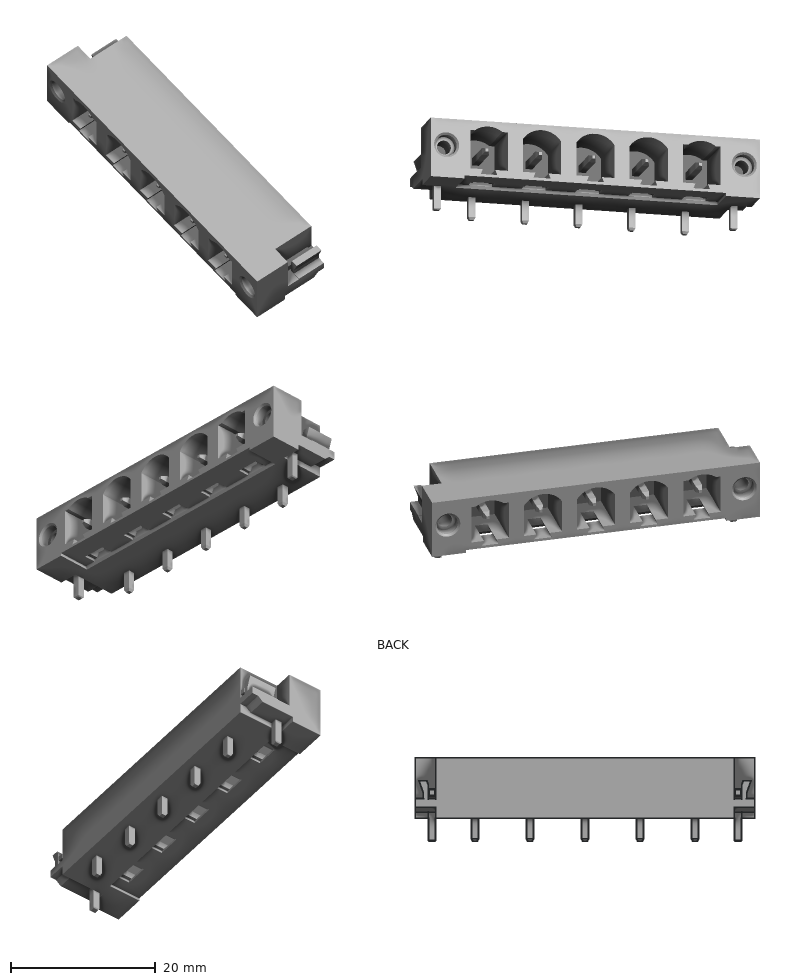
import cadquery as cq
import math


LENGTH = 46.95
DEPTH = 11.75
HEIGHT = 8.4
BODY_LENGTH = 41.32
FLANGE_DEPTH = 5.4
ARM_TOP = 2.7
UNDERCUT_START = 4.8
UNDERCUT_HEIGHT = 0.85
RAMP_START = 9.95
RAMP_END = 10.75
TAIL_HEIGHT = 1.55
RELIEF_HEIGHT = 0.4
RELIEF_LENGTH = 37.3
RELIEF_RUNOUT = 0.25

RAIL_START = 7.35
RAIL_TOP = 5.2
RAIL_BEND = 3.5
RAIL_INNER = 21.9
RAIL_OUTER = 22.95
RAIL_BASE_RISE = 0.1
RAIL_SLANT = 0.6

POLES = 5
PITCH = 7.6
POCKET_DEPTH = 7.5
POCKET_FLOOR = 1.5
POCKET_HALF_WIDTH = 2.72
POCKET_TOP = 7.65
ROOF_RADIUS = 3.3
SHOULDER_HEIGHT = 7.0
OUTER_TRIM = 0.1
KEY_FLOOR = 0.8
KEY_HALF_TOP = 0.95
KEY_HALF_BOTTOM = 1.2
KEY_DEPTH = 4.8
WINDOW_START = 3.05
WINDOW_HALF_WIDTH = 1.7

PIN_WIDTH = 1.0
PIN_BOTTOM = -3.2
CONTACT_HEIGHT = 4.55
CONTACT_FRONT = 0.95
CONTACT_LEG_Y = 9.8
CONTACT_TIP_LENGTH = 0.95
CONTACT_TIP_WIDTH = 0.4
CONTACT_END_LENGTH = 0.38
CONTACT_END_WIDTH = 0.6
END_PIN_X = (BODY_LENGTH + PIN_WIDTH) / 2
END_PIN_TOP = 4.1
END_PIN_BEND = 1.55
END_PIN_CHAMFER = 0.15
TAIL_TIP_LENGTH = 0.7
TAIL_TIP_WIDTH = 0.75

INSERT_X = 21.23
INSERT_HEIGHT = 4.65
INSERT_RADIUS = 1.5
INSERT_BORE_RADIUS = 1.0
INSERT_RECESS = 1.5
INSERT_HOLE_DEPTH = 4.45
COUNTERSINK = 0.3

SIDES = (-1, 1)
CONTACT_XS = [(i - (POLES - 1) / 2) * PITCH for i in range(POLES)]


def block(x0, x1, y0, y1, z0, z1):
    return cq.Workplane("XY").box(x1 - x0, y1 - y0, z1 - z0, centered=False).translate((x0, y0, z0))


def centred_block(x, half_width, y0, y1, z0, z1):
    return block(x - half_width, x + half_width, y0, y1, z0, z1)


def side_profile(points, x0, x1):
    """Prism between x0 and x1 from (y, z) points."""
    return cq.Workplane("YZ").polyline(points).close().extrude(x1 - x0).translate((x0, 0, 0))


def front_profile(points, y0, y1):
    """Prism between y0 and y1 from (x, z) points."""
    return cq.Workplane("XZ").polyline(points).close().extrude(y0 - y1).translate((0, y0, 0))


def rod(x, z, radius, y0, y1):
    return cq.Workplane("XZ").center(x, z).circle(radius).extrude(y0 - y1).translate((0, y0, 0))


def end_cutouts(side):
    """Space above the end arm and below it."""
    x0, x1 = sorted((side * BODY_LENGTH / 2, side * LENGTH / 2))
    above = block(x0, x1, FLANGE_DEPTH, DEPTH, ARM_TOP, HEIGHT)
    below = side_profile(
        [
            (UNDERCUT_START, 0),
            (UNDERCUT_START, UNDERCUT_HEIGHT),
            (RAMP_START, UNDERCUT_HEIGHT),
            (RAMP_END, TAIL_HEIGHT),
            (DEPTH, TAIL_HEIGHT),
            (DEPTH, 0),
        ],
        x0,
        x1,
    )
    return above.union(below)


def rail(side):
    """Leaning rail whose inner face turns upright alongside the end pin."""
    inner_foot = END_PIN_X + PIN_WIDTH / 2
    outer_foot = RAIL_OUTER - RAIL_SLANT
    slope = (RAIL_TOP - RAIL_BEND) / RAIL_SLANT
    inner_bend = RAIL_TOP - (RAIL_INNER - inner_foot) * slope
    return front_profile(
        [
            (side * inner_foot, ARM_TOP),
            (side * inner_foot, inner_bend),
            (side * RAIL_INNER, RAIL_TOP),
            (side * RAIL_OUTER, RAIL_TOP),
            (side * outer_foot, RAIL_BEND),
            (side * outer_foot, ARM_TOP + RAIL_BASE_RISE),
            (side * LENGTH / 2, ARM_TOP + RAIL_BASE_RISE),
            (side * LENGTH / 2, ARM_TOP),
        ],
        RAIL_START,
        DEPTH,
    )


def underside_relief():
    """Shallow recess open to the mating face, ending in a sloped rear face."""
    return side_profile(
        [
            (0, 0),
            (0, RELIEF_HEIGHT),
            (KEY_DEPTH, RELIEF_HEIGHT),
            (KEY_DEPTH + RELIEF_RUNOUT, 0),
        ],
        -RELIEF_LENGTH / 2,
        RELIEF_LENGTH / 2,
    )


def pocket(index):
    """Contact pocket with a rounded roof and a dovetail key slot in its floor."""
    x = CONTACT_XS[index]
    left_trim = OUTER_TRIM if index == 0 else 0
    right_trim = OUTER_TRIM if index == POLES - 1 else 0
    left = x - POCKET_HALF_WIDTH + left_trim
    right = x + POCKET_HALF_WIDTH - right_trim

    opening = block(left, right, 0, POCKET_DEPTH, POCKET_FLOOR, POCKET_TOP)
    opening = opening.intersect(roof(x))
    if index in (0, POLES - 1):
        opening = opening.union(block(left, right, 0, POCKET_DEPTH, POCKET_FLOOR, SHOULDER_HEIGHT))

    key = front_profile(
        [
            (x - KEY_HALF_TOP + left_trim, POCKET_FLOOR),
            (x + KEY_HALF_TOP - right_trim, POCKET_FLOOR),
            (x + KEY_HALF_BOTTOM - right_trim, KEY_FLOOR),
            (x - KEY_HALF_BOTTOM + left_trim, KEY_FLOOR),
        ],
        0,
        KEY_DEPTH,
    )
    window = centred_block(x, WINDOW_HALF_WIDTH, WINDOW_START, KEY_DEPTH, RELIEF_HEIGHT, KEY_FLOOR)
    return opening.union(key).union(window)


def roof(x):
    """Cylinder whose top forms the pocket roof, continued straight down to the floor."""
    centre_height = POCKET_TOP - ROOF_RADIUS
    cylinder = rod(x, centre_height, ROOF_RADIUS, 0, POCKET_DEPTH)
    return cylinder.union(centred_block(x, ROOF_RADIUS, 0, POCKET_DEPTH, POCKET_FLOOR, centre_height))


def insert_hole(side):
    x = side * INSERT_X
    hole = rod(x, INSERT_HEIGHT, INSERT_RADIUS, 0, INSERT_HOLE_DEPTH)
    cone = cq.Workplane(
        cq.Solid.makeCone(
            INSERT_RADIUS + COUNTERSINK,
            INSERT_RADIUS,
            COUNTERSINK,
            cq.Vector(x, 0, INSERT_HEIGHT),
            cq.Vector(0, 1, 0),
        )
    )
    return hole.union(cone)


def taper(x, y, z, direction, base_width, end_width, length):
    """Square pyramid stub on the end of a pin."""
    plane = cq.Plane(origin=(x, y, z), xDir=(1, 0, 0), normal=direction)
    return (
        cq.Workplane(plane)
        .rect(base_width, base_width)
        .workplane(offset=length)
        .rect(end_width, end_width)
        .loft(combine=True)
    )


def contact_pin(x):
    """L-shaped contact: straight blade in the pocket, leg down through the board."""
    half = PIN_WIDTH / 2
    blade_start = CONTACT_FRONT + CONTACT_TIP_LENGTH
    leg_end = PIN_BOTTOM + CONTACT_END_LENGTH
    rear = CONTACT_LEG_Y + half
    top = CONTACT_HEIGHT + half
    blade = centred_block(x, half, blade_start, rear, CONTACT_HEIGHT - half, top)
    leg = centred_block(x, half, CONTACT_LEG_Y - half, rear, leg_end, top)
    tip = taper(x, blade_start, CONTACT_HEIGHT, (0, -1, 0), PIN_WIDTH, CONTACT_TIP_WIDTH, CONTACT_TIP_LENGTH)
    end = taper(x, CONTACT_LEG_Y, leg_end, (0, 0, -1), PIN_WIDTH, CONTACT_END_WIDTH, CONTACT_END_LENGTH)
    return blade.union(leg).union(tip).union(end)


def end_pin(side):
    """Bent pin: tail lying above the arm, leg down through the arm behind the flange."""
    x = side * END_PIN_X
    half = PIN_WIDTH / 2
    bend_y = FLANGE_DEPTH + END_PIN_BEND
    bend_z = END_PIN_TOP - END_PIN_BEND
    inner = END_PIN_BEND - PIN_WIDTH
    tail_end = DEPTH - TAIL_TIP_LENGTH
    diagonal = math.sqrt(0.5)
    profile = (
        cq.Workplane("YZ")
        .moveTo(tail_end, END_PIN_TOP)
        .lineTo(bend_y, END_PIN_TOP)
        .threePointArc(
            (bend_y - END_PIN_BEND * diagonal, bend_z + END_PIN_BEND * diagonal),
            (FLANGE_DEPTH, bend_z),
        )
        .lineTo(FLANGE_DEPTH, PIN_BOTTOM)
        .lineTo(FLANGE_DEPTH + PIN_WIDTH, PIN_BOTTOM)
        .lineTo(FLANGE_DEPTH + PIN_WIDTH, bend_z)
        .threePointArc(
            (bend_y - inner * diagonal, bend_z + inner * diagonal),
            (bend_y, END_PIN_TOP - PIN_WIDTH),
        )
        .lineTo(tail_end, END_PIN_TOP - PIN_WIDTH)
        .close()
    )
    pin = profile.extrude(PIN_WIDTH).translate((x - half, 0, 0))
    pin = pin.faces("<Z").chamfer(END_PIN_CHAMFER)
    tip_half = TAIL_TIP_WIDTH / 2
    axis_height = END_PIN_TOP - half
    tip = centred_block(x, tip_half, tail_end, DEPTH, axis_height - tip_half, axis_height + tip_half)
    return pin.union(tip)


def screw_insert(side):
    x = side * INSERT_X
    sleeve = rod(x, INSERT_HEIGHT, INSERT_RADIUS, INSERT_RECESS, INSERT_HOLE_DEPTH)
    return sleeve.cut(rod(x, INSERT_HEIGHT, INSERT_BORE_RADIUS, INSERT_RECESS, INSERT_HOLE_DEPTH))


def build_housing(pins):
    housing = centred_block(0, LENGTH / 2, 0, DEPTH, 0, HEIGHT)
    housing = housing.cut(underside_relief())
    for side in SIDES:
        housing = housing.cut(end_cutouts(side)).union(rail(side)).cut(insert_hole(side))
    for index in range(POLES):
        housing = housing.cut(pocket(index))
    for pin in pins:
        housing = housing.cut(pin)
    return housing


contact_pins = [contact_pin(x) for x in CONTACT_XS]
end_pins = [end_pin(side) for side in SIDES]
screw_inserts = [screw_insert(side) for side in SIDES]
housing = build_housing(contact_pins + end_pins)

bodies = [housing] + contact_pins + end_pins + screw_inserts
result = cq.Compound.makeCompound([body.val() for body in bodies])